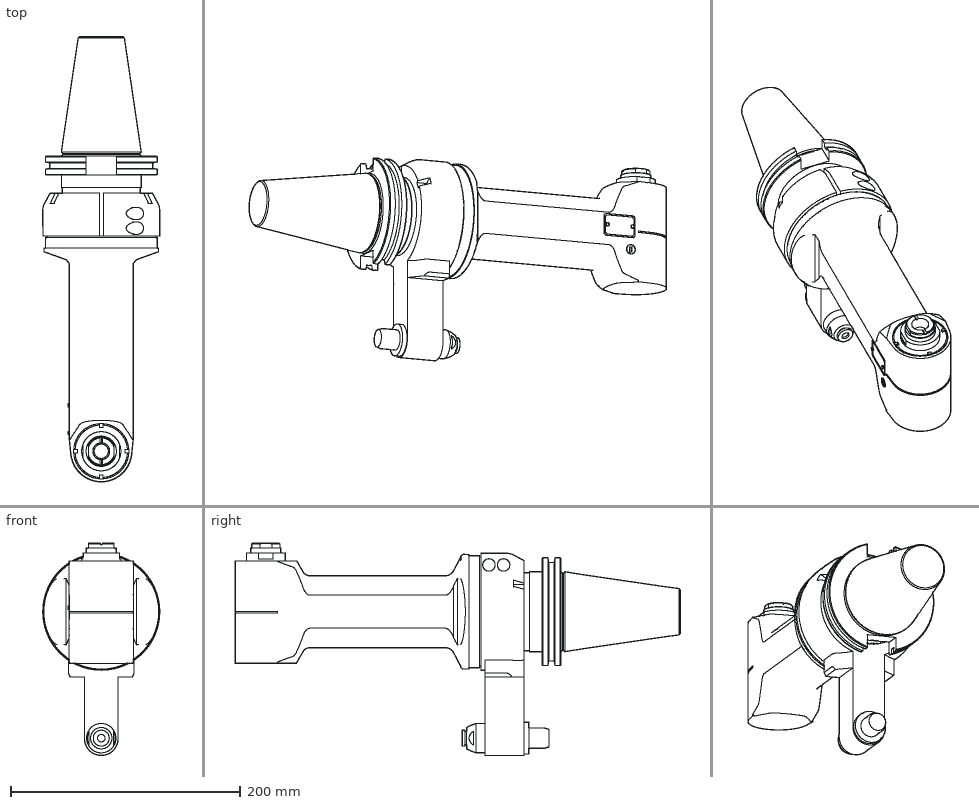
import cadquery as cq
import math


SHANK_END_Y = 388.5
GAUGE_Y = 288.0
TAPER_RADIUS = 35.0
TAPER_RATIO = 7 / 24
TAPER_CHAMFER = 1.0
UNDERCUT_RADIUS = 33.8
UNDERCUT_SLOPE = 1.0
FLANGE_BACK_Y = 284.5
FLANGE_FRONT_Y = 267.5
FLANGE_RADIUS = 49.0
FLANGE_CHAMFER = 0.8
FLANGE_MID_Y = (FLANGE_BACK_Y + FLANGE_FRONT_Y) / 2
GRIP_GROOVE_RADIUS = 45.0
GRIP_GROOVE_FLOOR = 4.5
GRIP_GROOVE_MOUTH = 6.2
DRIVE_SLOT_WIDTH = 26.5
DRIVE_SLOT_FLOOR = 35.5
NECK_FRONT_Y = 256.8

SPIGOT_RADIUS = 34.0
COLLAR_BACK_Y = 213.3
COLLAR_RADIUS = 49.0
RELIEF_WIDTH = 1.0
RELIEF_DEPTH = 1.0
RIM_BACK_Y = 204.0
RIM_FRONT_Y = 200.5
RIM_RADIUS = 50.0
BELL_SHOULDER = (49.7, 198.0)
BELL_TOP = (47.5, 196.5)
BELL_FOOT = (36.0, 190.8)
TUBE_RADIUS = 31.5
TUBE_BACK_Y = 183.8
TUBE_FRONT_Y = 65.3
FLAT_X = 28.0
FACET_OUTER_Y = 201.0
FACET_INNER = (30.5, 194.0)
FACET_FOOT_Y = 190.8

FLARE_FOOT = (36.0, 58.5)
FLARE_SHOULDER = (45.5, 53.2)
FLARE_BEND = (48.5, 48.0)
FLARE_END = (52.0, 37.0)
HEAD_TOP_Z = 44.3
HEAD_BOTTOM_Z = -45.0
HEAD_RADIUS = 27.0
OUTPUT_AXIS_Y = HEAD_RADIUS
HEAD_TAPER_Y = 37.0
SEAM_Z = -0.5
SEAM_WIDTH = 1.0
SEAM_DEPTH = 0.5

PLATE_Y = 54.8
PLATE_Z = 3.5
PLATE_LENGTH = 29.5
PLATE_HEIGHT = 19.5
PLATE_GROOVE_WIDTH = 1.0
PLATE_GROOVE_DEPTH = 0.5
PLATE_CHAMFER = 1.5
RIVET_DIAMETER = 3.0
RIVET_INSET = 2.7
RIVET_PROJECTION = 1.0
PLUG_Y = 44.0
PLUG_Z = -16.7
PLUG_DIAMETER = 8.0
PLUG_DEPTH = 0.8
PLUG_SLOT = 2.0
PLUG_SLOT_LENGTH = 4.3

RING_BACK_Y = 252.0
RING_FRONT_Y = COLLAR_BACK_Y + RELIEF_WIDTH
RING_DIAMETER = 102.0
RING_RADIUS = RING_DIAMETER / 2
RING_CONE_RADIUS = 44.5
RING_CONE_Y = 243.0
RING_CONE_END_RADIUS = 49.7
RING_CYLINDER_Y = 237.0
SPLIT_WIDTH = 3.5
CLAMP_HOLE_DIAMETER = 11.0
CLAMP_HOLE_Z = 40.8
CLAMP_HOLE_YS = (234.3, 221.5)
CLAMP_HOLE_BOTTOM_X = 15.5
NOTCH_ANGLE = 30.0
NOTCH_WIDTH = 6.2
NOTCH_FLOOR_RADIUS = 42.0
FOOT_HALF_WIDTH = 28.7
FOOT_FRONT_Y = 218.0
FOOT_BEVEL_X = 26.0
FOOT_BOTTOM_Z = -57.0
FOOT_CHAMFER_Z = -53.5
FOOT_CHAMFER_X = 1.5
ARM_HALF_WIDTH = 14.8
ARM_BOTTOM_Z = -125.5

PIN_Z = -110.5
PIN_SHANK_RADIUS = 9.0
PIN_BACK_Y = 274.0
PIN_CHAMFER_Y = 270.0
PIN_TIP_RADIUS = 7.8
PIN_COLLAR_RADIUS = 14.0
PIN_COLLAR_BACK_Y = 256.5
PIN_NOSE_RADIUS = 13.0
PIN_NOSE_Y = 210.0
PIN_DOME_START = (12.0, 208.0)
PIN_DOME_END = (9.5, 202.0)
PIN_UNDERCUT_RADIUS = 6.0
PIN_FLAT_X = 10.5
PIN_BUTTON_RADIUS = 7.0
PIN_BUTTON_BACK_Y = 200.5
PIN_FRONT_Y = 198.0
PIN_SOCKET_DIAMETER = 6.5
PIN_SOCKET_DEPTH = 2.0

NOSE_CAP_RADIUS = 24.0
NOSE_CAP_DEPTH = 4.0
CAP_NOTCH_WIDTH = 3.0
CAP_CHAMFER = 1.0
CAP_NOTCH_INNER_RADIUS = 20.5
CAP_NOTCH_DEPTH = 2.5
NUT_RADIUS = 17.0
NUT_TOP_Z = 51.3
NUT_FLAT_X = 16.0
NUT_FLAT_BOTTOM_Z = 46.0
STEP_RADIUS = 13.2
STEP_TOP_Z = 55.5
TIP_RADIUS = 12.5
TIP_FLAT_X = 11.3
TIP_TOP_Z = 60.0
TIP_CHAMFER = 0.8
BORE_FLOOR_RADIUS = 6.2
BORE_MOUTH_RADIUS = 7.5
BORE_DEPTH = 9.7
TIP_SLOT_WIDTH = 2.5
TIP_SLOT_DEPTH = 1.5

REACH = 155.5


def turned(profile):
    """Solid of revolution about the Y axis; the profile holds (radius, y)."""
    return profile.close().revolve(360, (0, 0, 0), (0, 1, 0))


def block(x_range, y_range, z_range):
    """Axis-aligned box between the given limits."""
    size = [high - low for low, high in (x_range, y_range, z_range)]
    corner = (x_range[0], y_range[0], z_range[0])
    return cq.Workplane("XY").box(*size, centered=False).translate(corner)


def along_y(radius, y_from, y_to, z=0.0):
    """Cylinder parallel to Y."""
    return cq.Workplane("XZ", origin=(0, y_to, z)).circle(radius).extrude(y_to - y_from)


def make_shank():
    small_radius = TAPER_RADIUS - (SHANK_END_Y - GAUGE_Y) * TAPER_RATIO / 2
    shank = turned(
        cq.Workplane("XY")
        .moveTo(0, SHANK_END_Y)
        .lineTo(small_radius - TAPER_CHAMFER, SHANK_END_Y)
        .lineTo(small_radius, SHANK_END_Y - TAPER_CHAMFER)
        .lineTo(TAPER_RADIUS, GAUGE_Y)
        .lineTo(UNDERCUT_RADIUS, GAUGE_Y - UNDERCUT_SLOPE)
        .lineTo(UNDERCUT_RADIUS, FLANGE_BACK_Y + UNDERCUT_SLOPE)
        .lineTo(TAPER_RADIUS, FLANGE_BACK_Y)
        .lineTo(FLANGE_RADIUS - FLANGE_CHAMFER, FLANGE_BACK_Y)
        .lineTo(FLANGE_RADIUS, FLANGE_BACK_Y - FLANGE_CHAMFER)
        .lineTo(FLANGE_RADIUS, FLANGE_MID_Y + GRIP_GROOVE_MOUTH / 2)
        .lineTo(GRIP_GROOVE_RADIUS, FLANGE_MID_Y + GRIP_GROOVE_FLOOR / 2)
        .lineTo(GRIP_GROOVE_RADIUS, FLANGE_MID_Y - GRIP_GROOVE_FLOOR / 2)
        .lineTo(FLANGE_RADIUS, FLANGE_MID_Y - GRIP_GROOVE_MOUTH / 2)
        .lineTo(FLANGE_RADIUS, FLANGE_FRONT_Y + FLANGE_CHAMFER)
        .lineTo(FLANGE_RADIUS - FLANGE_CHAMFER, FLANGE_FRONT_Y)
        .lineTo(TAPER_RADIUS, FLANGE_FRONT_Y)
        .lineTo(TAPER_RADIUS, NECK_FRONT_Y)
        .lineTo(0, NECK_FRONT_Y)
    )
    half_slot = DRIVE_SLOT_WIDTH / 2
    slot = block((-half_slot, half_slot), (FLANGE_FRONT_Y, FLANGE_BACK_Y), (DRIVE_SLOT_FLOOR, FLANGE_RADIUS))
    return shank.cut(slot).cut(slot.mirror("XY"))


def make_barrel():
    """Turned part of the housing, from the spigot to the flare, with its two long flats."""
    barrel = turned(
        cq.Workplane("XY")
        .moveTo(0, NECK_FRONT_Y)
        .lineTo(SPIGOT_RADIUS, NECK_FRONT_Y)
        .lineTo(SPIGOT_RADIUS, RING_FRONT_Y)
        .lineTo(COLLAR_RADIUS - RELIEF_DEPTH, RING_FRONT_Y)
        .lineTo(COLLAR_RADIUS - RELIEF_DEPTH, COLLAR_BACK_Y)
        .lineTo(COLLAR_RADIUS, COLLAR_BACK_Y)
        .lineTo(COLLAR_RADIUS, RIM_BACK_Y)
        .lineTo(RIM_RADIUS, RIM_BACK_Y)
        .lineTo(RIM_RADIUS, RIM_FRONT_Y)
        .threePointArc(BELL_SHOULDER, BELL_TOP)
        .lineTo(*BELL_FOOT)
        .tangentArcPoint((TUBE_RADIUS, TUBE_BACK_Y), relative=False)
        .lineTo(TUBE_RADIUS, TUBE_FRONT_Y)
        .tangentArcPoint(FLARE_FOOT, relative=False)
        .lineTo(*FLARE_SHOULDER)
        .tangentArcPoint(FLARE_BEND, relative=False)
        .lineTo(*FLARE_END)
        .lineTo(0, FLARE_END[1])
    )
    facet_slope = (FACET_OUTER_Y - FACET_INNER[1]) / (RIM_RADIUS - FACET_INNER[0])
    far_y = FACET_OUTER_Y + facet_slope * (REACH - RIM_RADIUS)
    beside_flat = (
        cq.Workplane("XY")
        .moveTo(REACH, 0)
        .lineTo(REACH, far_y)
        .lineTo(*FACET_INNER)
        .lineTo(FLAT_X, FACET_FOOT_Y)
        .lineTo(FLAT_X, 0)
        .close()
        .extrude(REACH, both=True)
    )
    head_y = (FLARE_END[1], TUBE_FRONT_Y)
    above_head = block((-REACH, REACH), head_y, (HEAD_TOP_Z, REACH))
    below_head = block((-REACH, REACH), head_y, (-REACH, HEAD_BOTTOM_Z))
    return barrel.cut(beside_flat).cut(beside_flat.mirror("YZ")).cut(above_head).cut(below_head)


def head_outline(inset):
    """Plan of the rounded head: flats that narrow to a half-round end."""
    lean = math.atan2(FLAT_X - HEAD_RADIUS, HEAD_TAPER_Y - OUTPUT_AXIS_Y)
    radius = HEAD_RADIUS - inset
    touch_x = radius * math.cos(lean)
    touch_y = OUTPUT_AXIS_Y - radius * math.sin(lean)
    back_x = FLAT_X - inset
    return (
        cq.Workplane("XY")
        .moveTo(back_x, HEAD_TAPER_Y)
        .lineTo(touch_x, touch_y)
        .threePointArc((0, OUTPUT_AXIS_Y - radius), (-touch_x, touch_y))
        .lineTo(-back_x, HEAD_TAPER_Y)
        .close()
    )


def make_head_end():
    head = head_outline(0).extrude(HEAD_TOP_Z - HEAD_BOTTOM_Z).translate((0, 0, HEAD_BOTTOM_Z))
    seam = head_outline(0).extrude(SEAM_WIDTH).cut(head_outline(SEAM_DEPTH).extrude(SEAM_WIDTH))
    return head.cut(seam.translate((0, 0, SEAM_Z - SEAM_WIDTH / 2)))


def plate_blank(inset):
    """Slab with the outline of the name plate, sunk into the -X flat."""
    return (
        cq.Workplane("YZ", origin=(-FLAT_X, PLATE_Y, PLATE_Z))
        .rect(PLATE_LENGTH - 2 * inset, PLATE_HEIGHT - 2 * inset)
        .extrude(PLATE_GROOVE_DEPTH)
        .edges("|X")
        .chamfer(PLATE_CHAMFER)
    )


def make_plate_rivets():
    return (
        cq.Workplane("YZ", origin=(-FLAT_X - RIVET_PROJECTION, PLATE_Y, PLATE_Z))
        .rarray(PLATE_LENGTH - 2 * RIVET_INSET, 4, 2, 1)
        .circle(RIVET_DIAMETER / 2)
        .extrude(2 * RIVET_PROJECTION)
    )


def make_plug_recess():
    """Round recess with a screwdriver slot in its floor."""
    face = cq.Workplane("YZ", origin=(-FLAT_X, PLUG_Y, PLUG_Z))
    recess = face.circle(PLUG_DIAMETER / 2).extrude(PLUG_DEPTH)
    slot = face.rect(PLUG_SLOT, PLUG_SLOT_LENGTH).extrude(2 * PLUG_DEPTH)
    return recess.union(slot)


def make_housing():
    seat = (
        cq.Workplane("XY", origin=(0, OUTPUT_AXIS_Y, HEAD_TOP_Z - NOSE_CAP_DEPTH))
        .circle(NOSE_CAP_RADIUS)
        .extrude(NOSE_CAP_DEPTH)
    )
    plate_groove = plate_blank(0).cut(plate_blank(PLATE_GROOVE_WIDTH))
    housing = make_barrel().union(make_head_end()).cut(plate_groove).union(make_plate_rivets())
    return housing.cut(make_plug_recess()).cut(seat)


def make_foot_and_arm():
    depth = RING_BACK_Y - FOOT_FRONT_Y
    foot_side = FOOT_HALF_WIDTH - FOOT_CHAMFER_X
    foot = (
        cq.Workplane("XZ", origin=(0, RING_BACK_Y, 0))
        .moveTo(-FOOT_HALF_WIDTH, 0)
        .lineTo(-FOOT_HALF_WIDTH, FOOT_CHAMFER_Z)
        .lineTo(-foot_side, FOOT_BOTTOM_Z)
        .lineTo(foot_side, FOOT_BOTTOM_Z)
        .lineTo(FOOT_HALF_WIDTH, FOOT_CHAMFER_Z)
        .lineTo(FOOT_HALF_WIDTH, 0)
        .close()
        .extrude(depth)
    )
    plan = (
        cq.Workplane("XY")
        .moveTo(-FOOT_HALF_WIDTH, FOOT_FRONT_Y)
        .lineTo(FOOT_HALF_WIDTH, FOOT_FRONT_Y)
        .lineTo(FOOT_HALF_WIDTH, RING_CYLINDER_Y)
        .tangentArcPoint((FOOT_BEVEL_X, RING_CONE_Y), relative=False)
        .lineTo(ARM_HALF_WIDTH, RING_BACK_Y)
        .lineTo(-ARM_HALF_WIDTH, RING_BACK_Y)
        .lineTo(-FOOT_BEVEL_X, RING_CONE_Y)
        .tangentArcPoint((-FOOT_HALF_WIDTH, RING_CYLINDER_Y), relative=False)
        .close()
        .extrude(FOOT_BOTTOM_Z)
    )
    arc_z = ARM_BOTTOM_Z + ARM_HALF_WIDTH
    arm = (
        cq.Workplane("XZ", origin=(0, RING_BACK_Y, 0))
        .moveTo(-ARM_HALF_WIDTH, 0)
        .lineTo(-ARM_HALF_WIDTH, arc_z)
        .threePointArc((0, ARM_BOTTOM_Z), (ARM_HALF_WIDTH, arc_z))
        .lineTo(ARM_HALF_WIDTH, 0)
        .close()
        .extrude(depth)
    )
    return foot.intersect(plan).union(arm)


def make_torque_ring():
    ring = turned(
        cq.Workplane("XY")
        .moveTo(0, RING_BACK_Y)
        .lineTo(RING_CONE_RADIUS, RING_BACK_Y)
        .lineTo(RING_CONE_END_RADIUS, RING_CONE_Y)
        .tangentArcPoint((RING_RADIUS, RING_CYLINDER_Y), relative=False)
        .lineTo(RING_RADIUS, RING_FRONT_Y)
        .lineTo(0, RING_FRONT_Y)
    )
    ring = ring.union(make_foot_and_arm())
    ring = ring.cut(along_y(SPIGOT_RADIUS, RING_FRONT_Y, RING_BACK_Y))
    ring = ring.cut(along_y(PIN_SHANK_RADIUS, FOOT_FRONT_Y, RING_BACK_Y, PIN_Z))

    half_split = SPLIT_WIDTH / 2
    ring = ring.cut(block((-half_split, half_split), (RING_FRONT_Y, RING_BACK_Y), (0, REACH)))
    for hole_y in CLAMP_HOLE_YS:
        hole = cq.Workplane("YZ", origin=(CLAMP_HOLE_BOTTOM_X, hole_y, CLAMP_HOLE_Z))
        ring = ring.cut(hole.circle(CLAMP_HOLE_DIAMETER / 2).extrude(RING_RADIUS))

    half_notch = NOTCH_WIDTH / 2
    notch = block((NOTCH_FLOOR_RADIUS, RING_RADIUS), (RING_CONE_Y, RING_BACK_Y), (-half_notch, half_notch))
    for angle in (NOTCH_ANGLE, 180 - NOTCH_ANGLE):
        ring = ring.cut(notch.rotate((0, 0, 0), (0, 1, 0), -angle))
    return ring


def make_stop_pin():
    pin = turned(
        cq.Workplane("XY")
        .moveTo(0, PIN_BACK_Y)
        .lineTo(PIN_TIP_RADIUS, PIN_BACK_Y)
        .lineTo(PIN_SHANK_RADIUS, PIN_CHAMFER_Y)
        .lineTo(PIN_SHANK_RADIUS, PIN_COLLAR_BACK_Y)
        .lineTo(PIN_COLLAR_RADIUS, PIN_COLLAR_BACK_Y)
        .lineTo(PIN_COLLAR_RADIUS, RING_BACK_Y)
        .lineTo(PIN_SHANK_RADIUS, RING_BACK_Y)
        .lineTo(PIN_SHANK_RADIUS, FOOT_FRONT_Y)
        .lineTo(PIN_NOSE_RADIUS, FOOT_FRONT_Y)
        .lineTo(PIN_NOSE_RADIUS, PIN_NOSE_Y)
        .lineTo(*PIN_DOME_START)
        .tangentArcPoint(PIN_DOME_END, relative=False)
        .lineTo(PIN_UNDERCUT_RADIUS, PIN_DOME_END[1])
        .lineTo(PIN_UNDERCUT_RADIUS, PIN_BUTTON_BACK_Y)
        .lineTo(PIN_BUTTON_RADIUS, PIN_BUTTON_BACK_Y)
        .lineTo(PIN_BUTTON_RADIUS, PIN_FRONT_Y)
        .lineTo(0, PIN_FRONT_Y)
    )
    socket = along_y(PIN_SOCKET_DIAMETER / 2, PIN_FRONT_Y, PIN_FRONT_Y + PIN_SOCKET_DEPTH)
    beside_flat = block((PIN_FLAT_X, REACH), (PIN_FRONT_Y, PIN_DOME_START[1]), (-REACH, REACH))
    pin = pin.cut(socket).cut(beside_flat).cut(beside_flat.mirror("YZ"))
    return pin.translate((0, 0, PIN_Z))


def nose_disc(radius, bottom_z, top_z):
    return cq.Workplane("XY", origin=(0, 0, bottom_z)).circle(radius).extrude(top_z - bottom_z)


def two_flats(half_width, bottom_z, top_z):
    """Slab that trims a disc to two flats facing -X and +X."""
    return block((-half_width, half_width), (-REACH, REACH), (bottom_z, top_z))


def make_output_nose():
    nut = nose_disc(NUT_RADIUS, NUT_FLAT_BOTTOM_Z, NUT_TOP_Z)
    nut = nut.intersect(two_flats(NUT_FLAT_X, NUT_FLAT_BOTTOM_Z, NUT_TOP_Z))
    nut = nut.union(nose_disc(NUT_RADIUS, HEAD_TOP_Z, NUT_FLAT_BOTTOM_Z))
    tip = nose_disc(TIP_RADIUS, STEP_TOP_Z, TIP_TOP_Z).faces(">Z").chamfer(TIP_CHAMFER)
    tip = tip.intersect(two_flats(TIP_FLAT_X, STEP_TOP_Z, TIP_TOP_Z))
    cap = nose_disc(NOSE_CAP_RADIUS, HEAD_TOP_Z - NOSE_CAP_DEPTH, HEAD_TOP_Z).faces(">Z").chamfer(CAP_CHAMFER)
    nose = cap.union(nut).union(nose_disc(STEP_RADIUS, NUT_TOP_Z, STEP_TOP_Z)).union(tip)

    bore_floor = cq.Vector(0, 0, TIP_TOP_Z - BORE_DEPTH)
    bore = cq.Solid.makeCone(BORE_FLOOR_RADIUS, BORE_MOUTH_RADIUS, BORE_DEPTH, bore_floor)
    nose = nose.cut(cq.Workplane(bore))

    slot = (
        cq.Workplane("XZ")
        .moveTo(-TIP_SLOT_WIDTH / 2, TIP_TOP_Z)
        .lineTo(0, TIP_TOP_Z - TIP_SLOT_DEPTH)
        .lineTo(TIP_SLOT_WIDTH / 2, TIP_TOP_Z)
        .close()
        .extrude(TIP_RADIUS, both=True)
    )
    nose = nose.cut(slot)

    half_notch = CAP_NOTCH_WIDTH / 2
    notch = block(
        (CAP_NOTCH_INNER_RADIUS, NOSE_CAP_RADIUS),
        (-half_notch, half_notch),
        (HEAD_TOP_Z - CAP_NOTCH_DEPTH, HEAD_TOP_Z),
    )
    for turn in (0, 90, 180, 270):
        nose = nose.cut(notch.rotate((0, 0, 0), (0, 0, 1), turn))
    return nose.translate((0, OUTPUT_AXIS_Y, 0))


shank = make_shank()
housing = make_housing()
torque_ring = make_torque_ring()
stop_pin = make_stop_pin()
output_nose = make_output_nose()

result = cq.Compound.makeCompound(
    [shank.val(), housing.val(), torque_ring.val(), stop_pin.val(), output_nose.val()]
)